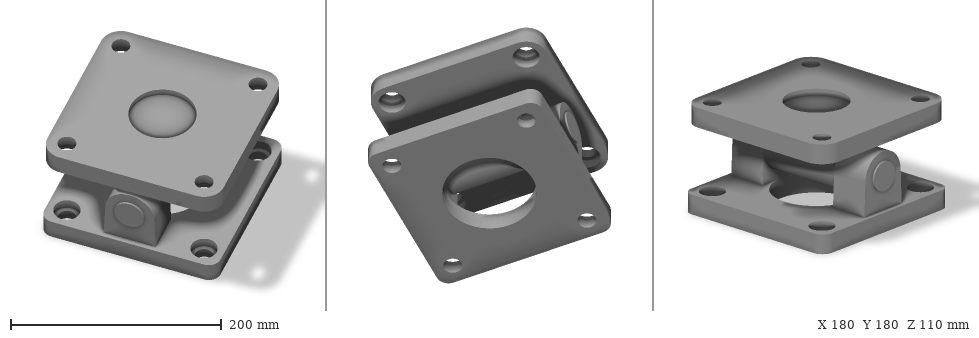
import cadquery as cq
import math

PLATE_SIDE = 180.0
PLATE_THICKNESS = 20.0
OVERALL_HEIGHT = 110.0
UPPER_CORNER_RADIUS = 20.0
LOWER_CORNER_RADIUS = 12.0
UPPER_PLATE_BOTTOM = OVERALL_HEIGHT - PLATE_THICKNESS

BOLT_SPACING = 140.0
BOLT_HOLE_DIAMETER = 18.0
COUNTERBORE_DIAMETER = 26.0
COUNTERBORE_DEPTH = 10.0

RECESS_DIAMETER = 65.0
RECESS_DEPTH = 7.0
LOWER_OPENING_DIAMETER = 90.0

AXIS_HEIGHT = OVERALL_HEIGHT / 2
LUG_RADIUS = 25.0
FLANK_ANGLE = math.radians(2.5)
KNUCKLE_LENGTH = 90.0
LUG_LENGTH = 40.0
PIN_DIAMETER = 30.0
PIN_PROTRUSION = 2.0
PIN_LENGTH = KNUCKLE_LENGTH + 2 * (LUG_LENGTH + PIN_PROTRUSION)


def plate(corner_radius, bottom, inner_face):
    """Square plate with rounded corners and bolt holes counterbored in its inner face."""
    return (
        cq.Workplane("XY", origin=(0, 0, bottom))
        .rect(PLATE_SIDE, PLATE_SIDE)
        .extrude(PLATE_THICKNESS)
        .edges("|Z")
        .fillet(corner_radius)
        .faces(inner_face)
        .workplane()
        .rect(BOLT_SPACING, BOLT_SPACING, forConstruction=True)
        .vertices()
        .cboreHole(BOLT_HOLE_DIAMETER, COUNTERBORE_DIAMETER, COUNTERBORE_DEPTH)
    )


def hinge_block(start_y, length, base_height):
    """Block standing on a plate at base_height, tapering to flanks tangent to its round end."""
    rise = abs(AXIS_HEIGHT - base_height)
    away = math.copysign(1, AXIS_HEIGHT - base_height)
    half_base = LUG_RADIUS / math.cos(FLANK_ANGLE) + rise * math.tan(FLANK_ANGLE)
    tangent_x = LUG_RADIUS * math.cos(FLANK_ANGLE)
    tangent_z = AXIS_HEIGHT + away * LUG_RADIUS * math.sin(FLANK_ANGLE)
    tip_z = AXIS_HEIGHT + away * LUG_RADIUS
    return (
        cq.Workplane("XZ", origin=(0, start_y, 0))
        .moveTo(-half_base, base_height)
        .lineTo(-tangent_x, tangent_z)
        .threePointArc((0, tip_z), (tangent_x, tangent_z))
        .lineTo(half_base, base_height)
        .close()
        .extrude(-length)
    )


def hinge_pin():
    """Pin along Y, standing slightly proud of both lugs."""
    return (
        cq.Workplane("XZ", origin=(0, -PIN_LENGTH / 2, AXIS_HEIGHT))
        .circle(PIN_DIAMETER / 2)
        .extrude(-PIN_LENGTH)
    )


def upper_hinge():
    """Upper plate with its central knuckle and the pin fixed in the knuckle."""
    body = plate(UPPER_CORNER_RADIUS, UPPER_PLATE_BOTTOM, "<Z")
    body = body.faces(">Z").workplane().hole(RECESS_DIAMETER, RECESS_DEPTH)
    knuckle = hinge_block(-KNUCKLE_LENGTH / 2, KNUCKLE_LENGTH, UPPER_PLATE_BOTTOM)
    return body.union(knuckle).union(hinge_pin())


def lower_hinge():
    """Lower plate with two lugs, bored for the pin."""
    body = plate(LOWER_CORNER_RADIUS, 0, ">Z")
    body = body.faces(">Z").workplane().hole(LOWER_OPENING_DIAMETER)
    for start_y in (-KNUCKLE_LENGTH / 2 - LUG_LENGTH, KNUCKLE_LENGTH / 2):
        body = body.union(hinge_block(start_y, LUG_LENGTH, PLATE_THICKNESS))
    return body.cut(hinge_pin())


upper = upper_hinge()
lower = lower_hinge()

result = cq.Compound.makeCompound([upper.val(), lower.val()])